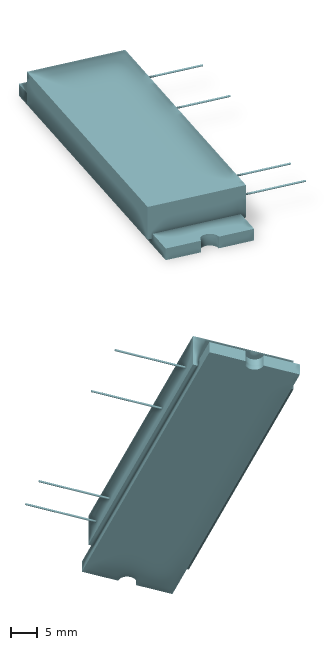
import cadquery as cq

FLANGE_LENGTH = 67.0
FLANGE_WIDTH = 18.0
FLANGE_THICKNESS = 2.5
NOTCH_RADIUS = 1.8

BODY_LENGTH = 55.0
BODY_WIDTH = 20.0
BODY_BOTTOM = 1.5
BODY_TOP = 8.5

LEAD_DIAMETER = 0.4
LEAD_LENGTH = 14.0
LEAD_HEIGHT = 4.0
LEAD_POSITIONS = (-23.5, -11.0, 16.5, 23.5)


def make_flange():
    """Flat plate with a half-round screw notch in the middle of each end."""
    plate = cq.Workplane("XY").rect(FLANGE_LENGTH, FLANGE_WIDTH).extrude(FLANGE_THICKNESS)
    half_length = FLANGE_LENGTH / 2
    notches = (
        cq.Workplane("XY")
        .pushPoints([(-half_length, 0), (half_length, 0)])
        .circle(NOTCH_RADIUS)
        .extrude(FLANGE_THICKNESS)
    )
    return plate.cut(notches)


def make_body():
    """Plain block, slightly wider than the flange and overlapping its upper part."""
    return (
        cq.Workplane("XY")
        .workplane(offset=BODY_BOTTOM)
        .rect(BODY_LENGTH, BODY_WIDTH)
        .extrude(BODY_TOP - BODY_BOTTOM)
    )


def make_lead(x):
    """Straight wire that starts at the block's centre plane and leaves its +Y face."""
    half_width = BODY_WIDTH / 2
    start = cq.Vector(x, 0, LEAD_HEIGHT)
    wire = cq.Solid.makeCylinder(
        LEAD_DIAMETER / 2, half_width + LEAD_LENGTH, start, cq.Vector(0, 1, 0)
    )
    return cq.Workplane(obj=wire)


result = make_flange().union(make_body())
for lead_x in LEAD_POSITIONS:
    result = result.union(make_lead(lead_x))